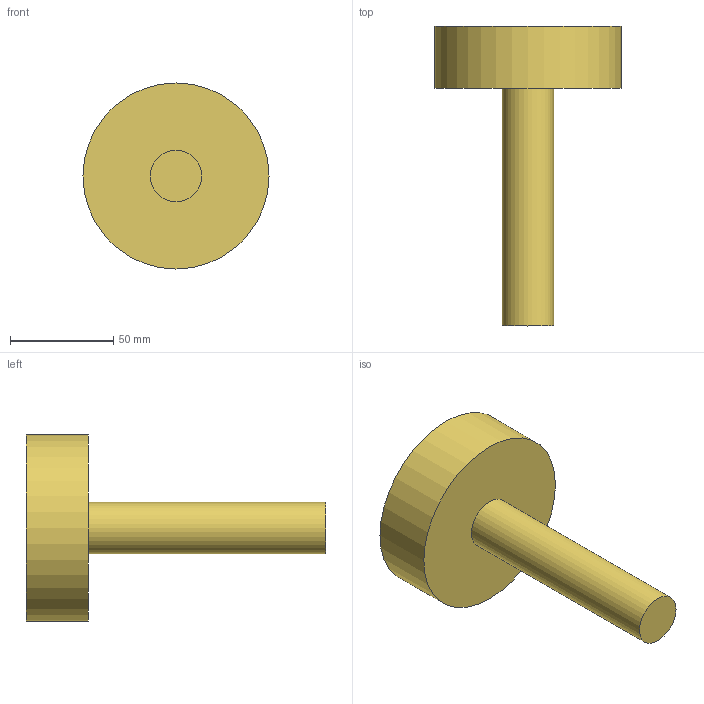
import cadquery as cq

head_diameter = 90.0
head_thickness = 30.0
shaft_diameter = 25.0
shaft_length = 115.0


def make_head():
    """Disc along Y, with its front face on the XZ plane and its body toward +Y."""
    return cq.Workplane("XZ").circle(head_diameter / 2).extrude(-head_thickness)


def make_shaft():
    """Round shaft running from the front face of the head toward -Y."""
    return cq.Workplane("XZ").circle(shaft_diameter / 2).extrude(shaft_length)


result = make_head().union(make_shaft())